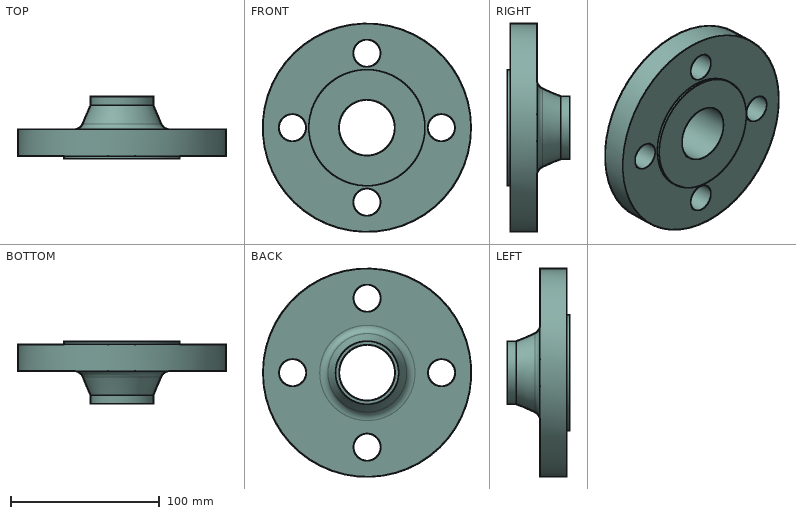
import cadquery as cq

flange_diameter = 140.0
overall_length = 42.0
raised_face_diameter = 78.0
raised_face_height = 2.0
flange_back = 20.0
bore_diameter = 37.2

weld_end_diameter = 42.4
weld_end_length = 6.0
hub_base_diameter = 56.0
hub_fillet = 6.0

bolt_circle_diameter = 100.0
bolt_hole_diameter = 18.0
bolt_hole_count = 4


def disc(diameter, start, end):
    """Cylinder on the flange axis between two Y positions."""
    return (
        cq.Workplane("XZ", origin=(0, start, 0))
        .circle(diameter / 2)
        .extrude(start - end)
    )


def flange_body():
    """Revolved raised face, plate and tapered weld neck."""
    cone_end = overall_length - weld_end_length
    profile = (
        cq.Workplane("XY")
        .moveTo(0, 0)
        .lineTo(raised_face_diameter / 2, 0)
        .lineTo(raised_face_diameter / 2, raised_face_height)
        .lineTo(flange_diameter / 2, raised_face_height)
        .lineTo(flange_diameter / 2, flange_back)
        .lineTo(hub_base_diameter / 2, flange_back)
        .lineTo(weld_end_diameter / 2, cone_end)
        .lineTo(weld_end_diameter / 2, overall_length)
        .lineTo(0, overall_length)
        .close()
    )
    body = profile.revolve(360, (0, 0, 0), (0, 1, 0))
    base_radius = hub_base_diameter / 2
    margin = 0.1
    hub_base_edge = cq.selectors.BoxSelector(
        (-base_radius - margin, flange_back - margin, -base_radius - margin),
        (base_radius + margin, flange_back + margin, base_radius + margin),
        boundingbox=True,
    )
    return body.edges(hub_base_edge).fillet(hub_fillet)


def bolt_holes():
    """Through-hole cutters evenly spaced, starting on the X axis."""
    return (
        cq.Workplane("XZ")
        .polarArray(bolt_circle_diameter / 2, 0, 360, bolt_hole_count)
        .circle(bolt_hole_diameter / 2)
        .extrude(-overall_length)
    )


bore = disc(bore_diameter, 0, overall_length)
result = flange_body().cut(bore).cut(bolt_holes())